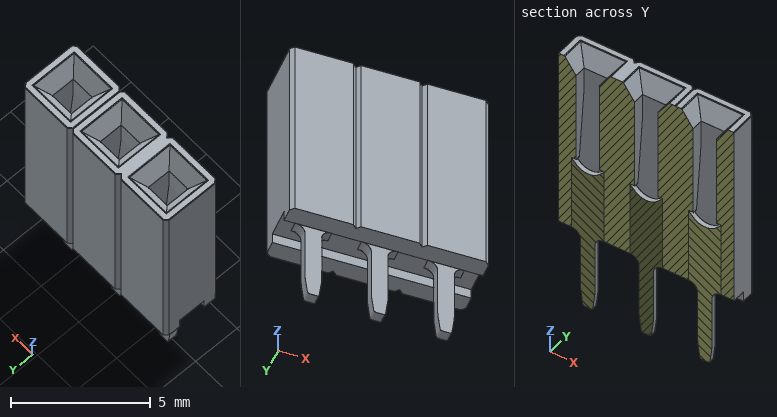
import cadquery as cq
import math

CELL_COUNT = 3
PITCH = 2.54
HOUSING_HEIGHT = 8.46
OVERALL_HEIGHT = 11.5
CORNER_CHAMFER = 0.15
RIM_CHAMFER = 0.02

PIN_THICKNESS = 0.4
TAIL_WIDTH = 0.64
TAIL_TAPER_HEIGHT = 0.8
TAIL_TAPER_ANGLE = 7.1
TAIL_BEND_RADIUS = 1.84
TIP_RADIUS = 0.1
SHOULDER_RADIUS = 0.38
CRADLE_HALF_WIDTH = 0.46
CRADLE_DEPTH = 0.17

MOUTH_WIDTH = 1.99
MOUTH_DEPTH = 0.7
THROAT_WIDTH = 1.0
THROAT_DEPTH = 1.0
WEDGE_DEPTH = 3.0

CHANNEL_WIDTH = 1.17
CHANNEL_HEIGHT = 0.45

HOUSING_BOTTOM = OVERALL_HEIGHT - HOUSING_HEIGHT
CHANNEL_TOP = HOUSING_BOTTOM + CHANNEL_HEIGHT
THROAT_TOP = OVERALL_HEIGHT - MOUTH_DEPTH
WEDGE_TOP = THROAT_TOP - THROAT_DEPTH
BLADE_TOP = WEDGE_TOP - WEDGE_DEPTH
BLADE_WIDTH = TAIL_WIDTH + 2 * SHOULDER_RADIUS
TIP_WIDTH = TAIL_WIDTH - 2 * TAIL_TAPER_HEIGHT * math.tan(math.radians(TAIL_TAPER_ANGLE))
HOUSING_LENGTH = CELL_COUNT * PITCH
CELL_CENTRES = [(i - (CELL_COUNT - 1) / 2) * PITCH for i in range(CELL_COUNT)]


def loft_between(lower_size, upper_size, lower_z, upper_z):
    """Straight-sided solid between two centred horizontal rectangles."""
    return (
        cq.Workplane("XY", origin=(0, 0, lower_z))
        .rect(*lower_size)
        .workplane(offset=upper_z - lower_z)
        .rect(*upper_size)
        .loft(ruled=True)
    )


def make_cell(x):
    """One cell: a block with chamfered upright edges, hollowed by its socket."""
    block = (
        cq.Workplane("XY", origin=(x, 0, HOUSING_BOTTOM))
        .rect(PITCH, PITCH)
        .extrude(HOUSING_HEIGHT)
        .edges("|Z")
        .chamfer(CORNER_CHAMFER)
    )
    return block.cut(make_socket().translate((x, 0, 0)))


def make_socket():
    """Cavity of one cell: funnel mouth, straight throat, wedge closing along Y, slot for the pin."""
    mouth_size = (MOUTH_WIDTH, MOUTH_WIDTH)
    throat_size = (THROAT_WIDTH, THROAT_WIDTH)
    wedge_end_size = (THROAT_WIDTH, PIN_THICKNESS)
    slot_size = (BLADE_WIDTH, PIN_THICKNESS)
    return (
        loft_between(throat_size, mouth_size, THROAT_TOP, OVERALL_HEIGHT)
        .union(loft_between(throat_size, throat_size, WEDGE_TOP, THROAT_TOP))
        .union(loft_between(wedge_end_size, throat_size, BLADE_TOP, WEDGE_TOP))
        .union(loft_between(slot_size, slot_size, CHANNEL_TOP, BLADE_TOP))
    )


def make_cell_group(centres):
    """Adjoining cells merged into one block, with every edge of its top face chamfered."""
    group = make_cell(centres[0])
    for x in centres[1:]:
        group = group.union(make_cell(x))
    return group.faces(">Z").edges().chamfer(RIM_CHAMFER)


def make_channel():
    """Straight channel through the underside, along the whole row."""
    channel = cq.Workplane("XY", origin=(0, 0, HOUSING_BOTTOM)).rect(HOUSING_LENGTH, CHANNEL_WIDTH)
    return channel.extrude(CHANNEL_HEIGHT)


def make_housing():
    """One-piece housing: rim chamfers leave a fine V-groove beside the last cell only."""
    merged_cells = make_cell_group(CELL_CENTRES[:-1])
    last_cell = make_cell_group(CELL_CENTRES[-1:])
    return merged_cells.union(last_cell).cut(make_channel())


def make_pin(x):
    """Flat pin: hollowed blade in the slot, flared shoulders and a tapered tail."""
    blade_half = BLADE_WIDTH / 2
    tail_half = TAIL_WIDTH / 2
    tip_half = TIP_WIDTH / 2
    flare = SHOULDER_RADIUS * (1 - math.sqrt(0.5))
    flare_x = tail_half + flare
    flare_z = CHANNEL_TOP - flare
    cradle_rim = BLADE_TOP - (blade_half - CRADLE_HALF_WIDTH)
    pin = (
        cq.Workplane("XZ", origin=(x, PIN_THICKNESS / 2, 0))
        .moveTo(-tip_half, 0)
        .lineTo(tip_half, 0)
        .lineTo(tail_half, TAIL_TAPER_HEIGHT)
        .lineTo(tail_half, CHANNEL_TOP - SHOULDER_RADIUS)
        .threePointArc((flare_x, flare_z), (blade_half, CHANNEL_TOP))
        .lineTo(blade_half, BLADE_TOP)
        .lineTo(CRADLE_HALF_WIDTH, cradle_rim)
        .threePointArc((0, cradle_rim - CRADLE_DEPTH), (-CRADLE_HALF_WIDTH, cradle_rim))
        .lineTo(-blade_half, BLADE_TOP)
        .lineTo(-blade_half, CHANNEL_TOP)
        .threePointArc((-flare_x, flare_z), (-tail_half, CHANNEL_TOP - SHOULDER_RADIUS))
        .lineTo(-tail_half, TAIL_TAPER_HEIGHT)
        .close()
        .extrude(PIN_THICKNESS)
    )
    return round_tail(pin)


def round_tail(pin):
    """Ease the bends where the tail starts to taper, and round off its tip."""
    layer_half = TAIL_TAPER_HEIGHT / 10
    layer = cq.selectors.BoxSelector(
        (-HOUSING_LENGTH, -PITCH, TAIL_TAPER_HEIGHT - layer_half),
        (HOUSING_LENGTH, PITCH, TAIL_TAPER_HEIGHT + layer_half),
    )
    eased = pin.edges(cq.selectors.ParallelDirSelector(cq.Vector(0, 1, 0)) & layer).fillet(TAIL_BEND_RADIUS)
    return eased.faces("<Z").edges("|Y").fillet(TIP_RADIUS)


housing = make_housing()
pins = [make_pin(x) for x in CELL_CENTRES]
result = cq.Compound.makeCompound([housing.val(), *[pin.val() for pin in pins]])